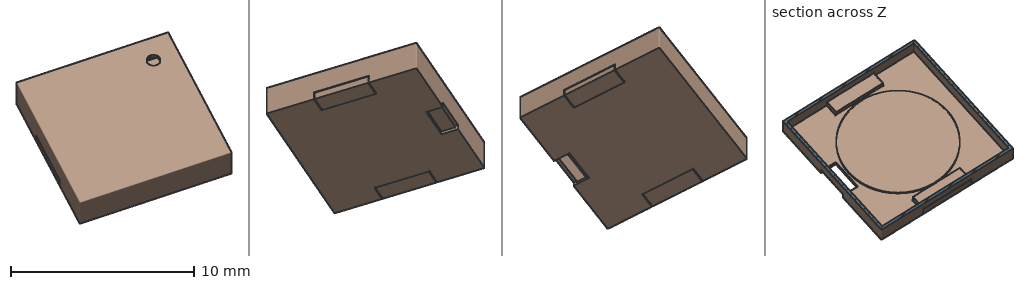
import cadquery as cq

side = 9.0
height = 1.9
wall = 0.2
edge_round = 0.05

hole_diameter = 0.75
hole_x = -3.0
hole_y = 3.0

disc_diameter = 6.75
disc_thickness = 0.1

notch_depth = 1.0

vent_width = 2.0
vent_height = wall + disc_thickness

terminal_width = 3.2
terminal_height = 0.45
terminal_gap = 0.05
terminal_notch_width = terminal_width + 2 * terminal_gap
terminal_notch_height = terminal_height + terminal_gap


def side_block(width, block_height, turn):
    """Block standing on Z = 0, flush with the -Y side, then turned about the Z axis."""
    block = cq.Workplane("XY").box(width, notch_depth, block_height, centered=(True, False, False))
    return block.translate((0, -side / 2, 0)).rotate((0, 0, 0), (0, 0, 1), turn)


def make_housing(terminal_turns):
    housing = cq.Workplane("XY").box(side, side, height, centered=(True, True, False))
    housing = housing.edges("|Z or >Z").fillet(edge_round)

    inner_side = side - 2 * wall
    inner_height = height - 2 * wall
    cavity = cq.Workplane("XY").box(inner_side, inner_side, inner_height, centered=(True, True, False))
    housing = housing.cut(cavity.translate((0, 0, wall)))

    roof_underside = cq.Workplane("XY").workplane(offset=height - wall)
    sound_hole = roof_underside.center(hole_x, hole_y).circle(hole_diameter / 2).extrude(wall)
    housing = housing.cut(sound_hole)

    for turn in terminal_turns:
        housing = housing.cut(side_block(terminal_notch_width, terminal_notch_height, turn))

    vent_turn = -90
    return housing.cut(side_block(vent_width, vent_height, vent_turn))


def make_disc():
    floor = cq.Workplane("XY").workplane(offset=wall)
    return floor.circle(disc_diameter / 2).extrude(disc_thickness)


turns = (0, 180)
housing = make_housing(turns)
disc = make_disc()
terminals = [side_block(terminal_width, terminal_height, turn) for turn in turns]

result = cq.Compound.makeCompound(
    [housing.val(), disc.val(), *[terminal.val() for terminal in terminals]]
)